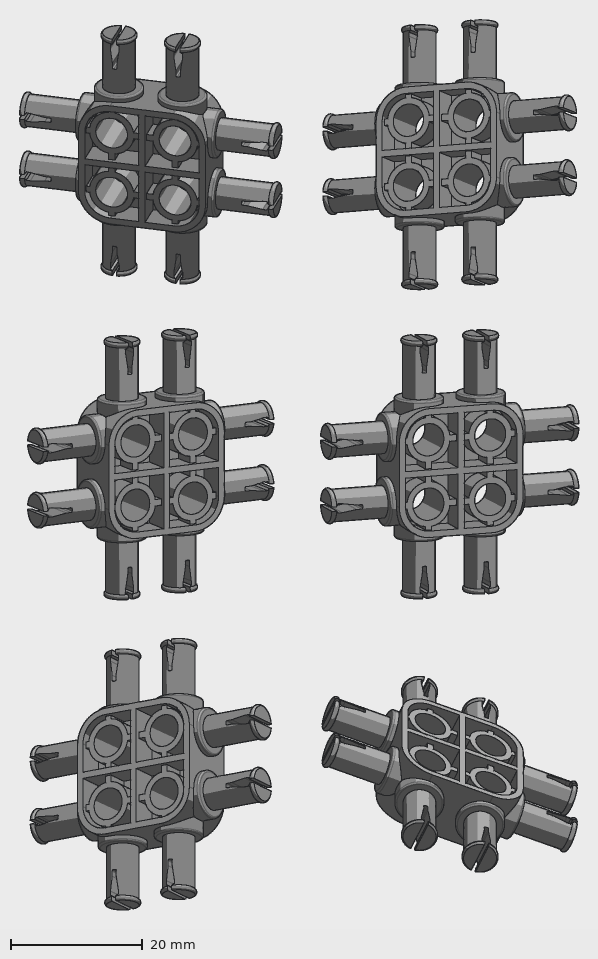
import cadquery as cq

block_size = 20.0
block_depth = 10.0
corner_radius = 5.0
wall = 1.0
hole_pitch = 10.0
hole_diameter = 5.0

pocket_depth = (block_depth - wall) / 2
ring_recess = 0.8
ring_diameter = 7.0
rib_width = 1.0

overall_size = 40.0
pin_diameter = 5.0
collar_diameter = 7.5
collar_height = 0.9
collar_rounding = 0.3
head_diameter = 5.5
head_height = 0.8
head_face_diameter = 5.0

slot_width = 0.7
slot_wide = 1.4
slot_flare_depth = 1.05
slot_taper_start = 1.7
slot_taper_end = 4.0
slot_depth = 5.0
slot_end_rounding = 0.2

front = -block_depth / 2
half_pitch = hole_pitch / 2
tip = overall_size / 2
block_top = block_size / 2
hole_centers = [(x, z) for x in (-half_pitch, half_pitch) for z in (-half_pitch, half_pitch)]


def bar(x_size, z_size, y_start, y_end):
    """Box centred on the Y axis in XZ, running from y_start to y_end."""
    return cq.Workplane("XY").box(x_size, y_end - y_start, z_size).translate((0, (y_start + y_end) / 2, 0))


def disc(diameter, y_start, y_end):
    """Cylinder along the Y axis, running from y_start to y_end."""
    return cq.Workplane("XZ", origin=(0, y_end, 0)).circle(diameter / 2).extrude(y_end - y_start)


def block():
    """Solid block with rounded corners, before any hollows."""
    return bar(block_size, block_size, front, -front).edges("|Y").fillet(corner_radius)


def pockets():
    """The four hollows of the front face, left between the walls, the cross web, the rings and the ribs."""
    inner_size = block_size - 2 * wall
    floor = front + pocket_depth
    ring_front = front + ring_recess
    hollow = bar(inner_size, inner_size, front, floor).edges("|Y").fillet(corner_radius - wall)
    hollow = hollow.cut(bar(wall, inner_size, front, floor))
    hollow = hollow.cut(bar(inner_size, wall, front, floor))
    post = disc(ring_diameter, ring_front, floor)
    post = post.union(bar(rib_width, hole_pitch, ring_front, floor))
    post = post.union(bar(hole_pitch, rib_width, ring_front, floor))
    for x, z in hole_centers:
        hollow = hollow.cut(post.translate((x, 0, z)))
    return hollow


def pin_slot():
    """Slot through the pin along Y: narrow at the head, wide behind it, then tapering to its end."""
    narrow = slot_width / 2
    wide = slot_wide / 2
    right_side = [
        (narrow, tip),
        (narrow, tip - head_height),
        (wide, tip - slot_flare_depth),
        (wide, tip - slot_taper_start),
        (narrow, tip - slot_taper_end),
        (narrow, tip - slot_depth),
    ]
    left_side = [(-x, z) for x, z in reversed(right_side)]
    outline = cq.Workplane("XZ").polyline(right_side + left_side).close()
    slot = outline.extrude(head_diameter, both=True)
    return slot.faces("<Z").edges("|Y").fillet(slot_end_rounding)


def pin_head():
    """Head at the pin's tip, with a rim that bulges from its two flat faces in one arc."""
    face_radius = head_face_diameter / 2
    base = tip - head_height
    profile = cq.Workplane("XZ").moveTo(0, base).lineTo(face_radius, base)
    profile = profile.threePointArc((head_diameter / 2, tip - head_height / 2), (face_radius, tip))
    return profile.lineTo(0, tip).close().revolve(360, (0, 0, 0), (0, 1, 0))


def pin():
    """Pin along +Z on the Z axis, rooted inside the block where the rounded corners begin."""
    root = block_top - corner_radius
    collar_top = block_top + collar_height
    base = cq.Workplane("XY").workplane(offset=root)
    collar = base.circle(collar_diameter / 2).extrude(collar_top - root).faces(">Z").fillet(collar_rounding)
    shaft = base.circle(pin_diameter / 2).extrude(tip - root)
    return collar.union(shaft).union(pin_head()).cut(pin_slot())


def pins():
    """Two pins on each of the four sides."""
    pin_pair = pin().translate((-half_pitch, 0, 0)).union(pin().translate((half_pitch, 0, 0)))
    all_pins = pin_pair
    for angle in (90, 180, 270):
        all_pins = all_pins.union(pin_pair.rotate((0, 0, 0), (0, 1, 0), angle))
    return all_pins


front_pockets = pockets()
back_pockets = front_pockets.mirror("XZ")
result = block().union(pins()).cut(front_pockets).cut(back_pockets)
for hole_x, hole_z in hole_centers:
    result = result.cut(disc(hole_diameter, front, -front).translate((hole_x, 0, hole_z)))